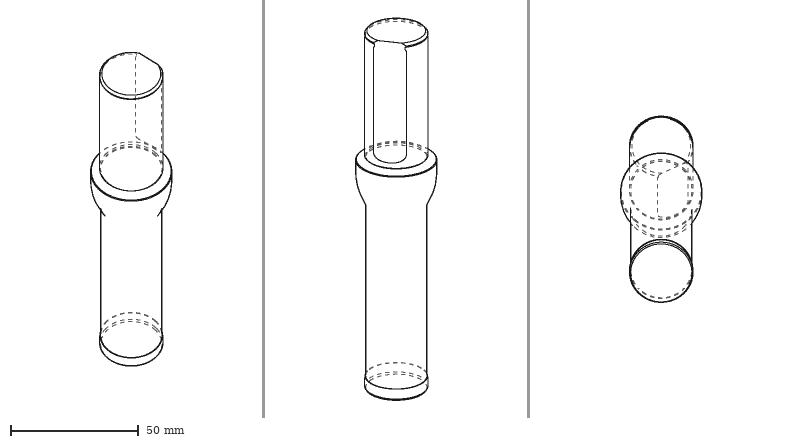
import cadquery as cq
import math

TOTAL_LENGTH = 155.0
TIP_TOP_Z = 5.5
COLLAR_TOP_Z = 99.4

ROD_RADIUS = 24.0 / 2
TIP_TOP_RADIUS = 24.5 / 2
TIP_RADIUS = 25.0 / 2
TIP_RIM_Z = 1.2
TIP_BULGE = 0.2
TIP_CHAMFER_WIDTH = 0.5
TIP_DOME_HEIGHT = 0.5

COLLAR_RADIUS = 32.0 / 2
COLLAR_BAND_HEIGHT = 5.3
COLLAR_CHAMFER = 0.3
FLARE_RADIUS = 25.5
FLARE_FILLET = 4.0

NECK_RADIUS = ROD_RADIUS
NECK_ROUND = 1.2
NECK_TOP_Z = 100.8
NECK_CHAMFER = 0.5

SHANK_RADIUS = TIP_RADIUS
END_CHAMFER_HEIGHT = 1.1
END_CHAMFER_WIDTH = 1.0
GROOVE_RADIUS = TIP_TOP_RADIUS
GROOVE_TOP_Z = 153.3
GROOVE_FLOOR_HEIGHT = 1.0
GROOVE_BOTTOM_Z = 151.6
FLAT_Y = 10.5
FLAT_END_Z = 106.8
RUNOUT_RADIUS = 3.9


def arc_point(center, radius, angle):
    """Point on a circle at an angle measured from the radial (+X) direction."""
    return (center[0] + radius * math.cos(angle), center[1] + radius * math.sin(angle))


def make_body():
    """Rod, collar and shank turned in one piece."""
    flare_center = (COLLAR_RADIUS - FLARE_RADIUS, COLLAR_TOP_Z - COLLAR_BAND_HEIGHT)
    fillet_x = ROD_RADIUS + FLARE_FILLET
    center_distance = FLARE_RADIUS + FLARE_FILLET
    flare_angle = math.acos((fillet_x - flare_center[0]) / center_distance)
    fillet_center = (fillet_x, flare_center[1] - center_distance * math.sin(flare_angle))
    tangent_point = arc_point(flare_center, FLARE_RADIUS, -flare_angle)
    fillet_middle = arc_point(fillet_center, FLARE_FILLET, math.pi - flare_angle / 2)
    flare_middle = arc_point(flare_center, FLARE_RADIUS, -flare_angle / 2)

    neck_round_center = (NECK_RADIUS + NECK_ROUND, COLLAR_TOP_Z + NECK_ROUND)
    neck_round_middle = arc_point(neck_round_center, NECK_ROUND, math.radians(225))

    body = (
        cq.Workplane("XZ")
        .moveTo(0, TIP_TOP_Z)
        .lineTo(ROD_RADIUS, TIP_TOP_Z)
        .lineTo(ROD_RADIUS, fillet_center[1])
        .threePointArc(fillet_middle, tangent_point)
        .threePointArc(flare_middle, (COLLAR_RADIUS, flare_center[1]))
        .lineTo(COLLAR_RADIUS, COLLAR_TOP_Z - COLLAR_CHAMFER)
        .lineTo(COLLAR_RADIUS - COLLAR_CHAMFER, COLLAR_TOP_Z)
        .lineTo(neck_round_center[0], COLLAR_TOP_Z)
        .threePointArc(neck_round_middle, (NECK_RADIUS, neck_round_center[1]))
        .lineTo(NECK_RADIUS, NECK_TOP_Z)
        .lineTo(SHANK_RADIUS, NECK_TOP_Z + NECK_CHAMFER)
        .lineTo(SHANK_RADIUS, GROOVE_BOTTOM_Z)
        .lineTo(GROOVE_RADIUS, GROOVE_TOP_Z - GROOVE_FLOOR_HEIGHT)
        .lineTo(GROOVE_RADIUS, GROOVE_TOP_Z)
        .lineTo(SHANK_RADIUS, TOTAL_LENGTH - END_CHAMFER_HEIGHT)
        .lineTo(SHANK_RADIUS - END_CHAMFER_WIDTH, TOTAL_LENGTH)
        .lineTo(0, TOTAL_LENGTH)
        .close()
        .revolve(360, (0, 0, 0), (0, 1, 0))
    )
    return body.cut(make_flat_cutter())


def make_flat_cutter():
    """Volume removed for the shank flat, ending in a round run-out."""
    runout_center = (FLAT_Y + RUNOUT_RADIUS, FLAT_END_Z)
    runout_middle = arc_point(runout_center, RUNOUT_RADIUS, math.radians(225))
    return (
        cq.Workplane("YZ")
        .moveTo(FLAT_Y, TOTAL_LENGTH)
        .lineTo(FLAT_Y, FLAT_END_Z)
        .threePointArc(runout_middle, (runout_center[0], FLAT_END_Z - RUNOUT_RADIUS))
        .lineTo(runout_center[0], TOTAL_LENGTH)
        .close()
        .extrude(SHANK_RADIUS, both=True)
    )


def make_tip():
    """Slightly barrelled tip with a chamfered rim and a shallow domed end."""
    dome_rim_radius = TIP_RADIUS - TIP_CHAMFER_WIDTH
    dome_radius = (dome_rim_radius**2 + TIP_DOME_HEIGHT**2) / (2 * TIP_DOME_HEIGHT)
    dome_half_angle = math.asin(dome_rim_radius / dome_radius)
    dome_middle = arc_point((0, dome_radius), dome_radius, dome_half_angle / 2 - math.pi / 2)
    side_middle = ((TIP_TOP_RADIUS + TIP_RADIUS) / 2 + TIP_BULGE, (TIP_TOP_Z + TIP_RIM_Z) / 2)
    return (
        cq.Workplane("XZ")
        .moveTo(0, 0)
        .threePointArc(dome_middle, (dome_rim_radius, TIP_DOME_HEIGHT))
        .lineTo(TIP_RADIUS, TIP_RIM_Z)
        .threePointArc(side_middle, (TIP_TOP_RADIUS, TIP_TOP_Z))
        .lineTo(0, TIP_TOP_Z)
        .close()
        .revolve(360, (0, 0, 0), (0, 1, 0))
    )


body = make_body()
tip = make_tip()
result = cq.Compound.makeCompound([body.val(), tip.val()])